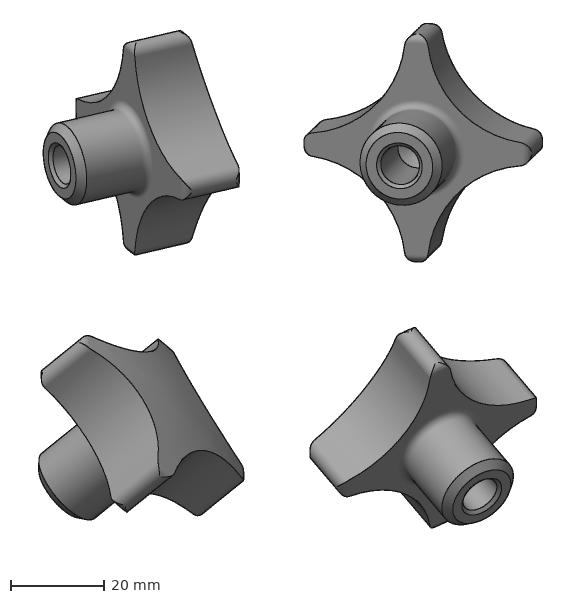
import cadquery as cq
import math

knob_radius = 25.0
dome_height = 16.9
dome_radius = 94.0
rim_fillet = 1.75

arm_count = 4
tip_radius = 2.6
scallop_radius = 23.0

stem_length = 17.0
stem_radius = 9.0
stem_chamfer = 1.7
stem_fillet = 1.7

bore_radius = 4.25
bore_mouth_radius = 5.0
bore_depth = 18.0
drill_point_angle = 118.0


def domed_disc():
    """Revolved blank with a spherical top and rounded rims."""
    def dome_at(radius):
        return dome_height - dome_radius + math.sqrt(dome_radius**2 - radius**2)

    half = knob_radius / 2
    return (
        cq.Workplane("XY")
        .lineTo(knob_radius, 0)
        .lineTo(knob_radius, dome_at(knob_radius))
        .threePointArc((half, dome_at(half)), (0, dome_height))
        .close()
        .revolve(360, (0, 0, 0), (0, 1, 0))
        .edges("%CIRCLE")
        .fillet(rim_fillet)
    )


def star_prism():
    """Rounded arm tips joined by tangent concave scallops, extruded along Y."""
    tip_center = knob_radius - tip_radius
    center_distance = scallop_radius + tip_radius
    offset = (tip_center + math.sqrt(2 * center_distance**2 - tip_center**2)) / 2
    blend = tip_radius / center_distance
    tangent_x = tip_center + (offset - tip_center) * blend
    tangent_y = offset * blend
    scallop_mid = offset - scallop_radius / math.sqrt(2)

    def turned(x, y, arm):
        angle = 2 * math.pi * arm / arm_count
        cosine = math.cos(angle)
        sine = math.sin(angle)
        return (x * cosine - y * sine, x * sine + y * cosine)

    outline = cq.Workplane("XZ").moveTo(tangent_x, -tangent_y)
    for arm in range(arm_count):
        outline = outline.threePointArc(
            turned(knob_radius, 0, arm), turned(tangent_x, tangent_y, arm)
        ).threePointArc(
            turned(scallop_mid, scallop_mid, arm), turned(tangent_x, -tangent_y, arm + 1)
        )
    return outline.close().extrude(-dome_height)


def stem():
    """Stem with a chamfered free end and a concave fillet under the knob."""
    fillet_reach = stem_fillet * (1 - math.sqrt(0.5))
    return (
        cq.Workplane("XY")
        .moveTo(0, -stem_length)
        .lineTo(stem_radius - stem_chamfer, -stem_length)
        .lineTo(stem_radius, -stem_length + stem_chamfer)
        .lineTo(stem_radius, -stem_fillet)
        .threePointArc(
            (stem_radius + fillet_reach, -fillet_reach),
            (stem_radius + stem_fillet, 0),
        )
        .lineTo(0, 0)
        .close()
        .revolve(360, (0, 0, 0), (0, 1, 0))
    )


def bore():
    """Blind drilled hole with a 45 degree countersink and a conical bottom."""
    countersink_depth = bore_mouth_radius - bore_radius
    point_depth = bore_radius / math.tan(math.radians(drill_point_angle / 2))
    return (
        cq.Workplane("XY")
        .moveTo(0, -stem_length)
        .lineTo(bore_mouth_radius, -stem_length)
        .lineTo(bore_radius, -stem_length + countersink_depth)
        .lineTo(bore_radius, -stem_length + bore_depth)
        .lineTo(0, -stem_length + bore_depth + point_depth)
        .close()
        .revolve(360, (0, 0, 0), (0, 1, 0))
    )


knob = domed_disc().intersect(star_prism())
result = knob.union(stem()).cut(bore())